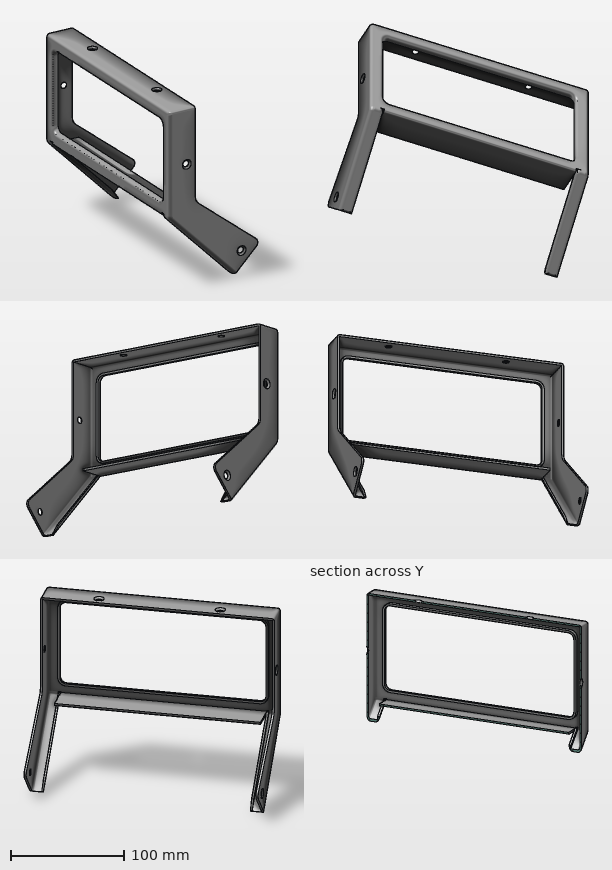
import cadquery as cq
import math

width = 212.2
frame_depth = 27.2
frame_height = 103.0
sheet = 2.0
front_radius = 2 * sheet
corner_radius = 2.8

flange_width = 12.7

window_margin_z = 12.3
window_corner_radius = 5.7
window_lip_depth = 6.0

leg_reach = 67.3
leg_end_width = 38.0
bend_radius = 6.4
elbow_z = 12.3
elbow_radius = 10.0
tip_radius = 5.0
toe_radius = 2.1
flange_lip_depth = front_radius
lip_taper_length = 11.7
half_bend = math.radians(45) / 2
bend_top_z = bend_radius * math.tan(half_bend)

pick_margin = 0.2

hole_diameter = 5.7
countersink_diameter = 9.1
hole_y = 18.3
top_hole_spacing = 110.0
side_hole_z = 49.7
leg_hole_y = 74.7
leg_hole_z = -45.2


def box(x0, x1, y0, y1, z0, z1):
    """Axis-aligned box between the given limits."""
    return cq.Workplane("XY").box(x1 - x0, y1 - y0, z1 - z0, centered=False).translate((x0, y0, z0))


def corner_edge(y, z):
    """Selector for the edges along X through the given (Y, Z) corner."""
    low = (-width, y - pick_margin, z - pick_margin)
    high = (width, y + pick_margin, z + pick_margin)
    return cq.selectors.BoxSelector(low, high)


def leg_prism(x0, x1):
    """Side outline of a leg up to its elbow, with a sharp toe, extruded from x0 to x1."""
    top_z = elbow_z + elbow_radius
    end_step = leg_end_width / math.sqrt(2)
    tip = (leg_reach + end_step, end_step - leg_reach)
    outline = [
        (0, top_z),
        (0, 0),
        (leg_reach, -leg_reach),
        tip,
        (frame_depth, elbow_z),
        (frame_depth, top_z),
    ]
    prism = cq.Workplane("YZ").polyline(outline).close().extrude(x1 - x0).translate((x0, 0, 0))
    prism = prism.edges(corner_edge(0, 0)).fillet(bend_radius)
    prism = prism.edges(corner_edge(*tip)).fillet(tip_radius)
    return prism.edges(corner_edge(frame_depth, elbow_z)).fillet(elbow_radius)


def behind_front(x0, x1, depth):
    """Everything deeper than `depth` behind the front face and the leg slope."""
    far = 2 * width
    corner_z = depth * math.tan(half_bend)
    outline = [(depth, far), (depth, corner_z), (depth + far, corner_z - far), (far + far, far)]
    prism = cq.Workplane("YZ").polyline(outline).close().extrude(x1 - x0).translate((x0, 0, 0))
    return prism.edges(corner_edge(depth, corner_z)).fillet(bend_radius - depth)


def slope_point(along, depth):
    """(Y, Z) of a point `along` the leg slope and `depth` behind its front surface."""
    return ((along + depth) / math.sqrt(2), (depth - along) / math.sqrt(2))


def lip_taper(x0, x1):
    """Wedge that cuts the lip down to the flange at the toe."""
    toe = leg_reach * math.sqrt(2)
    wedge = [
        slope_point(toe - lip_taper_length, flange_lip_depth),
        slope_point(toe, sheet),
        slope_point(toe, flange_lip_depth),
    ]
    return cq.Workplane("YZ").polyline(wedge).close().extrude(x1 - x0).translate((x0, 0, 0))


def left_leg():
    """Side plate, front flange and rolled lip of the leg on the -X side."""
    outer_x = -width / 2
    inner_x = outer_x + flange_width
    blank = leg_prism(outer_x, inner_x)
    rounded_toe = blank.edges(corner_edge(leg_reach, -leg_reach)).fillet(toe_radius)
    leg = blank.faces("<Y").edges("|Z").fillet(front_radius).intersect(rounded_toe)
    channel = behind_front(outer_x + sheet, inner_x - sheet, sheet)
    channel = channel.faces("<Y").edges("|Z and <X").fillet(front_radius - sheet)
    above_lip = behind_front(outer_x + front_radius, inner_x + sheet, flange_lip_depth)
    frame_zone = box(-width, width, 0, frame_depth / 2, bend_top_z, frame_height)
    leg = leg.cut(channel).cut(above_lip).cut(frame_zone)
    return leg.cut(lip_taper(outer_x + front_radius, inner_x))


def frame_shell():
    """Front, top and side walls with the bottom tray, open at the back."""
    half = width / 2
    shell = box(-half, half, 0, frame_depth, 0, frame_height)
    shell = shell.edges("|Y and >Z").fillet(corner_radius)
    shell = shell.faces("<Y").edges("|Z or >Z").fillet(front_radius)

    cavity = box(sheet - half, half - sheet, sheet, 2 * frame_depth, sheet, frame_height - sheet)
    cavity = cavity.faces("<Y").edges("|Z or >Z").fillet(front_radius - sheet)
    shell = shell.cut(cavity)

    for side in (-1, 1):
        center_x = side * half
        x0 = center_x - flange_width
        x1 = center_x + flange_width
        leg_zone = box(x0, x1, 0, frame_depth, 0, bend_top_z)
        shell = shell.cut(leg_zone)
    return shell.edges(corner_edge(0, 0)).fillet(bend_top_z)


def window_block(outset, depth):
    """Rounded block filling the window, grown by `outset` all round."""
    half_x = width / 2 - flange_width + outset
    z0 = window_margin_z - outset
    z1 = frame_height - window_margin_z + outset
    block = box(-half_x, half_x, 0, depth, z0, z1)
    return block.edges("|Y").fillet(window_corner_radius + outset)


def screw_hole():
    """Countersunk hole cutter along Z, entering at the origin from +Z."""
    sink_depth = (countersink_diameter - hole_diameter) / 2
    shank = cq.Workplane("XY").circle(hole_diameter / 2).extrude(-2 * sheet)
    sink = cq.Solid.makeCone(countersink_diameter / 2, hole_diameter / 2, sink_depth, dir=(0, 0, -1))
    return shank.union(cq.Workplane(sink))


def lipped_frame():
    """Frame shell with the window cut through and its rim rolled inward."""
    frame = frame_shell().union(window_block(sheet, window_lip_depth))
    frame = frame.cut(window_block(0, window_lip_depth))
    rim_x = width / 2 - flange_width + pick_margin
    rim_z0 = window_margin_z - pick_margin
    rim_z1 = frame_height - rim_z0
    rim = cq.selectors.BoxSelector((-rim_x, -pick_margin, rim_z0), (rim_x, pick_margin, rim_z1))
    return frame.faces("<Y").edges(rim).fillet(front_radius)


left = left_leg()
result = lipped_frame().union(left).union(left.mirror("YZ")).clean()

for side in (-1, 1):
    top_hole = screw_hole().translate((side * top_hole_spacing / 2, hole_y, frame_height))
    result = result.cut(top_hole)
    side_cutter = screw_hole().rotate((0, 0, 0), (0, 1, 0), side * 90)
    for y, z in ((hole_y, side_hole_z), (leg_hole_y, leg_hole_z)):
        result = result.cut(side_cutter.translate((side * width / 2, y, z)))